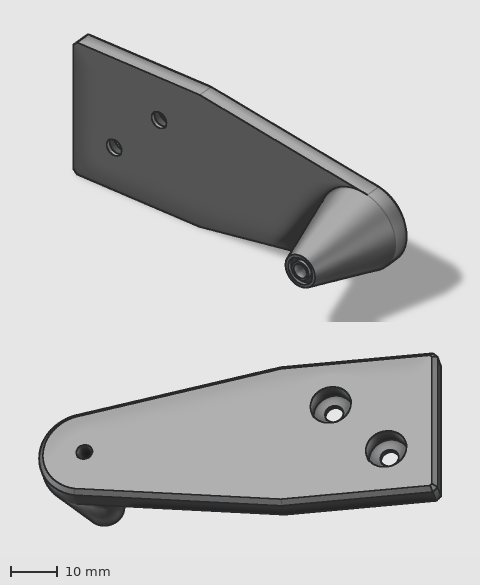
import cadquery as cq
import math

length = 86.5
height = 34.0
plate_thickness = 5.0
parallel_length = 33.9
nose_radius = 10.0
taper_end_x = 78.9
edge_chamfer = 1.0

plate_hole_diameter = 4.0
counterbore_diameter = 8.8
plate_hole_land = 1.0
plate_hole_start = 11.0
plate_hole_spacing = 12.0

depth = 25.35
tip_diameter = 8.0
cone_length = depth - plate_thickness

bore_diameter = 3.5
groove_inner_diameter = 4.5
groove_outer_diameter = 6.5
groove_depth = 1.0

nose_x = length - nose_radius
taper_end_z = math.sqrt(nose_radius**2 - (taper_end_x - nose_x) ** 2)


def cylinder_y(diameter, x, z, y_start, span):
    """Cylinder along +Y, starting at y_start."""
    return cq.Workplane(
        cq.Solid.makeCylinder(diameter / 2, span, cq.Vector(x, y_start, z), cq.Vector(0, 1, 0))
    )


def make_plate():
    half = height / 2
    plate = (
        cq.Workplane("XZ")
        .moveTo(0, -half)
        .lineTo(parallel_length, -half)
        .lineTo(taper_end_x, -taper_end_z)
        .threePointArc((length, 0), (taper_end_x, taper_end_z))
        .lineTo(parallel_length, half)
        .lineTo(0, half)
        .close()
        .extrude(-plate_thickness)
    )
    plate = plate.edges("|Y and <X").chamfer(edge_chamfer)
    return plate.faces(">Y").chamfer(edge_chamfer)


def make_cone():
    return cq.Workplane(
        cq.Solid.makeCone(
            nose_radius, tip_diameter / 2, cone_length, cq.Vector(nose_x, 0, 0), cq.Vector(0, -1, 0)
        )
    )


result = make_plate().union(make_cone())

for side in (-1, 1):
    hole_x = plate_hole_start + plate_hole_spacing * (1 + side) / 2
    hole_z = side * plate_hole_spacing / 2
    result = result.cut(cylinder_y(plate_hole_diameter, hole_x, hole_z, 0, plate_thickness))
    result = result.cut(
        cylinder_y(counterbore_diameter, hole_x, hole_z, plate_hole_land, plate_thickness - plate_hole_land)
    )

groove = cylinder_y(groove_outer_diameter, nose_x, 0, -cone_length, groove_depth)
tube = cylinder_y(groove_inner_diameter, nose_x, 0, -cone_length, groove_depth)
result = result.cut(groove.cut(tube))

result = result.cut(cylinder_y(bore_diameter, nose_x, 0, -cone_length, depth))